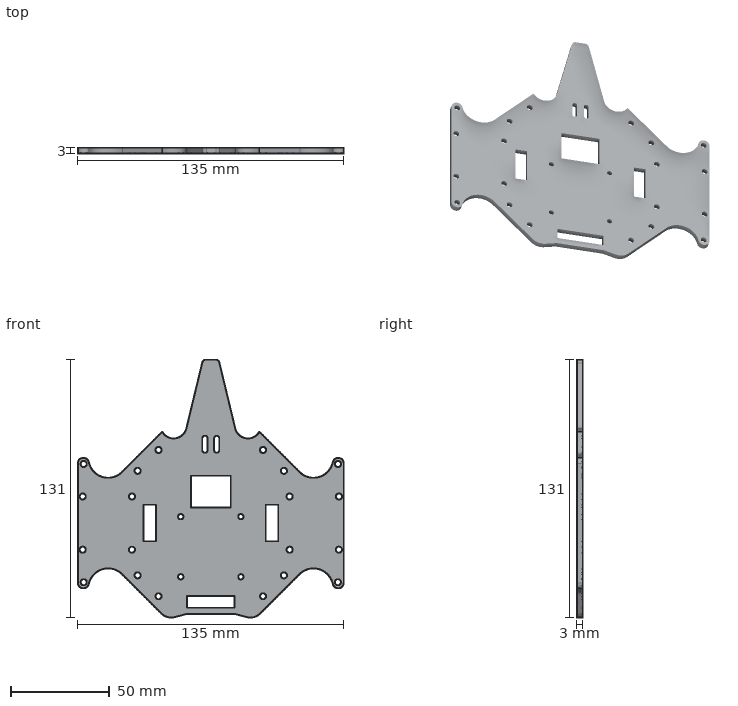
import cadquery as cq
import math

thickness = 3.0
half_width = 67.5

diagonal_sum = 71.0

nose_top_z = 83.0
nose_tip_half_width = 4.0
nose_tip_radius = 2.0

scallop_radius = 6.6
scallop_center = (18.85, 49.6)

lug_radius = 2.85
lug_center = (half_width - lug_radius, 30.3)

notch_radius = 10.0

tail_z = -46.2
tail_half_width = 12.3
lobe_radius = 7.0
lobe_bottom_z = -48.0
lobe_z = lobe_bottom_z + lobe_radius
lobe_center = (diagonal_sum + lobe_z - lobe_radius * math.sqrt(2), lobe_z)

mount_hole_diameter = 3.0
lug_hole_x = 64.5
lug_hole_z = 30.0
edge_hole_x = 65.0
inner_hole_x = 40.0
side_hole_z = 13.5
diagonal_hole_distance = 45.0
diagonal_hole_pitch = 15.0
board_hole_diameter = 2.6
board_hole_pitch = 30.5
board_center_z = -12.0

center_window = (20.0, 16.0)
center_window_z = 16.0
side_window = (6.2, 18.4)
side_window_x = 31.0
tail_window = (24.0, 5.8)
tail_window_z = -40.0
slot_length = 8.6
slot_width = 2.5
slot_x = 3.0
slot_z = 40.0


def on_circle(center, radius, angle):
    return (center[0] + radius * math.cos(angle), center[1] + radius * math.sin(angle))


def tangent_angle(point, center, radius):
    """Angle on the circle, counterclockwise of the point, where a line from the point touches it."""
    run = point[0] - center[0]
    rise = point[1] - center[1]
    return math.atan2(rise, run) + math.acos(radius / math.hypot(run, rise))


def flip_z(point):
    return (point[0], -point[1])


def find_notch_center():
    """Center of the circle that touches the upper diagonal edge and the upper lug from outside."""
    lug_to_center_line = (lug_center[0] + lug_center[1] - diagonal_sum) / math.sqrt(2) - notch_radius
    along = math.sqrt((notch_radius + lug_radius) ** 2 - lug_to_center_line ** 2)
    return (
        lug_center[0] - (lug_to_center_line + along) / math.sqrt(2),
        lug_center[1] - (lug_to_center_line - along) / math.sqrt(2),
    )


def find_shoulder():
    """Outer point where the scallop circle meets the upper diagonal edge."""
    gap = (diagonal_sum - scallop_center[0] - scallop_center[1]) / math.sqrt(2)
    half_chord = math.sqrt(scallop_radius ** 2 - gap ** 2)
    return (
        scallop_center[0] + (gap + half_chord) / math.sqrt(2),
        scallop_center[1] + (gap - half_chord) / math.sqrt(2),
    )


def make_half_plate():
    nose_tip = (nose_tip_half_width, nose_top_z)
    nose_root_angle = tangent_angle(nose_tip, scallop_center, scallop_radius)
    nose_root = on_circle(scallop_center, scallop_radius, nose_root_angle)
    scallop_bottom = (scallop_center[0], scallop_center[1] - scallop_radius)

    notch_center = find_notch_center()
    notch_start = on_circle(notch_center, notch_radius, math.radians(-135))
    notch_bottom = (notch_center[0], notch_center[1] - notch_radius)
    lug_angle = math.atan2(notch_center[1] - lug_center[1], notch_center[0] - lug_center[0])
    lug_start = on_circle(lug_center, lug_radius, lug_angle)
    lug_top = (lug_center[0], lug_center[1] + lug_radius)
    lug_side = (half_width, lug_center[1])

    tail_corner = (tail_half_width, tail_z)
    lobe_start = on_circle(lobe_center, lobe_radius, math.radians(-45))
    lobe_bottom = (lobe_center[0], lobe_bottom_z)
    lobe_end = on_circle(lobe_center, lobe_radius, tangent_angle(tail_corner, lobe_center, lobe_radius))

    return (
        cq.Workplane("XZ")
        .moveTo(0, nose_top_z)
        .lineTo(*nose_tip)
        .lineTo(*nose_root)
        .threePointArc(scallop_bottom, find_shoulder())
        .lineTo(*notch_start)
        .threePointArc(notch_bottom, lug_start)
        .threePointArc(lug_top, lug_side)
        .lineTo(*flip_z(lug_side))
        .threePointArc(flip_z(lug_top), flip_z(lug_start))
        .threePointArc(flip_z(notch_bottom), flip_z(notch_start))
        .lineTo(*lobe_start)
        .threePointArc(lobe_bottom, lobe_end)
        .lineTo(*tail_corner)
        .lineTo(0, tail_z)
        .close()
        .extrude(thickness / 2, both=True)
    )


def make_plate():
    half = make_half_plate()
    plate = half.union(half.mirror("YZ"), clean=True)
    return plate.edges("|Y").edges(">Z").fillet(nose_tip_radius)


def four_corners(x, z):
    return [(x, z), (-x, z), (-x, -z), (x, -z)]


def sketch_at(points):
    return cq.Workplane("XZ").pushPoints(points)


def hole_cutter(points, diameter):
    return sketch_at(points).circle(diameter / 2).extrude(thickness, both=True)


def window_cutter(points, size):
    return sketch_at(points).rect(*size).extrude(thickness, both=True)


def slot_cutter():
    points = [(slot_x, slot_z), (-slot_x, slot_z)]
    return sketch_at(points).slot2D(slot_length, slot_width, 90).extrude(thickness, both=True)


def mount_hole_points():
    near = (diagonal_hole_distance - diagonal_hole_pitch / 2) / math.sqrt(2)
    far = (diagonal_hole_distance + diagonal_hole_pitch / 2) / math.sqrt(2)
    return (
        four_corners(lug_hole_x, lug_hole_z)
        + four_corners(edge_hole_x, side_hole_z)
        + four_corners(inner_hole_x, side_hole_z)
        + four_corners(near, far)
        + four_corners(far, near)
    )


def board_hole_points():
    half_pitch = board_hole_pitch / 2
    return [(x, board_center_z + z) for x, z in four_corners(half_pitch, half_pitch)]


result = (
    make_plate()
    .cut(hole_cutter(mount_hole_points(), mount_hole_diameter))
    .cut(hole_cutter(board_hole_points(), board_hole_diameter))
    .cut(window_cutter([(0, center_window_z)], center_window))
    .cut(window_cutter([(side_window_x, 0), (-side_window_x, 0)], side_window))
    .cut(window_cutter([(0, tail_window_z)], tail_window))
    .cut(slot_cutter())
)